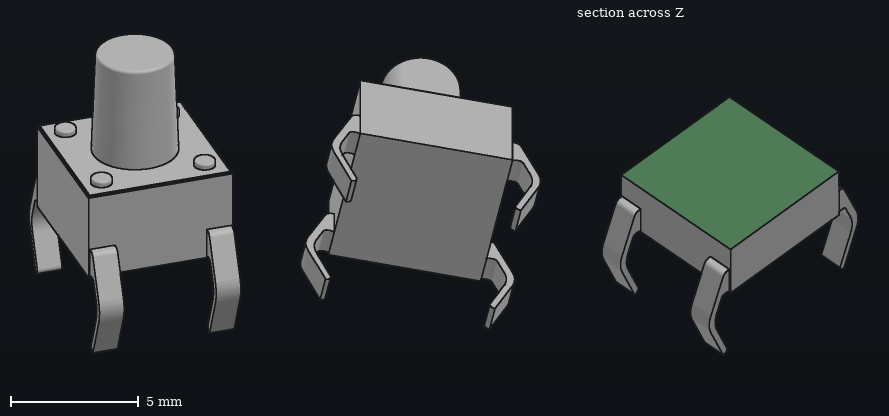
import cadquery as cq
import math


body_x = 6.10
body_y = 5.99
body_top = 3.65
cover_height = 0.075
cover_inset = 0.075

button_top = 7.98
button_base_radius = 1.715
button_tip_radius = 1.555
button_fillet = 0.15

rivet_diameter = 0.85
rivet_offset = 2.14
rivet_height = 0.26
rivet_fillet = 0.10

leg_span_x = 8.37
leg_width = 1.03
leg_center_y = 2.42
leg_thickness = 0.34
upper_angle = math.radians(22.5)
lower_angle = math.radians(22.0)
outer_bend_radius = 1.2
outer_bend_z = -1.01
inner_bend_radius = 1.1
inner_bend_z = -1.10
leg_tip_z = -3.20
leg_tip_radius = 0.20
tab_top = 1.27
tab_top_radius = 0.28
tab_bottom = 0.107
tab_corner_radius = 0.20
tab_root_radius = 0.15
tab_overlap = 0.5


def make_body():
    base_height = body_top - cover_height
    base = cq.Workplane("XY").rect(body_x, body_y).extrude(base_height)
    return (
        base.faces(">Z")
        .workplane()
        .rect(body_x - 2 * cover_inset, body_y - 2 * cover_inset)
        .extrude(cover_height)
    )


def make_button():
    outline = (
        cq.Workplane("XZ")
        .moveTo(0, 0)
        .lineTo(button_base_radius, 0)
        .lineTo(button_base_radius, body_top)
        .lineTo(button_tip_radius, button_top)
        .lineTo(0, button_top)
        .close()
    )
    button = outline.revolve(360, (0, 0, 0), (0, 1, 0))
    return button.faces(">Z").edges().fillet(button_fillet)


def make_rivets():
    rivets = (
        cq.Workplane("XY")
        .workplane(offset=body_top)
        .rect(2 * rivet_offset, 2 * rivet_offset, forConstruction=True)
        .vertices()
        .circle(rivet_diameter / 2)
        .extrude(rivet_height)
    )
    return rivets.faces(">Z").edges().fillet(rivet_fillet)


def bend_outline(apex_x, bend_z, radius, upper_z, lower_z):
    """Five points of one leg face: upper end, bend start, bend apex, bend end, lower end."""
    center_x = apex_x - radius

    def straight_end(angle, z):
        x = center_x + radius / math.cos(angle) - abs(z - bend_z) * math.tan(angle)
        return (x, z)

    upper_end = straight_end(upper_angle, upper_z)
    bend_start = (center_x + radius * math.cos(upper_angle), bend_z + radius * math.sin(upper_angle))
    bend_end = (center_x + radius * math.cos(lower_angle), bend_z - radius * math.sin(lower_angle))
    lower_end = straight_end(lower_angle, lower_z)
    return upper_end, bend_start, (apex_x, bend_z), bend_end, lower_end


def make_leg(center_y):
    """One leg on the +X side: a tab on the housing wall, then out, a bend, and back in."""
    wall_x = body_x / 2
    root_x = wall_x - tab_overlap
    outer_x = leg_span_x / 2
    inner_x = outer_x - leg_thickness

    top_corner, outer_start, outer_apex, outer_end, tip_outer = bend_outline(
        outer_x, outer_bend_z, outer_bend_radius, tab_top, leg_tip_z
    )
    tab_corner, inner_start, inner_apex, inner_end, tip_inner = bend_outline(
        inner_x, inner_bend_z, inner_bend_radius, tab_bottom, leg_tip_z
    )

    root_drop = tab_root_radius - tab_bottom
    root_arc_x = wall_x + math.sqrt(tab_root_radius**2 - root_drop**2)
    root_half_angle = math.acos(root_drop / tab_root_radius) / 2
    root_arc_middle = (
        root_arc_x - tab_root_radius * math.sin(root_half_angle),
        tab_bottom - tab_root_radius * (1 - math.cos(root_half_angle)),
    )

    leg = (
        cq.Workplane("XZ", origin=(0, center_y + leg_width / 2, 0))
        .moveTo(root_x, tab_top)
        .lineTo(*top_corner)
        .lineTo(*outer_start)
        .threePointArc(outer_apex, outer_end)
        .lineTo(*tip_outer)
        .lineTo(*tip_inner)
        .lineTo(*inner_end)
        .threePointArc(inner_apex, inner_start)
        .lineTo(*tab_corner)
        .lineTo(root_arc_x, tab_bottom)
        .threePointArc(root_arc_middle, (wall_x, 0))
        .lineTo(root_x, 0)
        .close()
        .extrude(leg_width)
    )

    rounded_corners = (
        (top_corner, tab_top_radius),
        (tip_inner, leg_tip_radius),
        (tab_corner, tab_corner_radius),
    )
    for (x, z), radius in rounded_corners:
        corner_edge = cq.selectors.NearestToPointSelector((x, center_y, z))
        leg = leg.edges(corner_edge).fillet(radius)
    return leg


result = make_body().union(make_button()).union(make_rivets())
for y_side in (-1, 1):
    right_leg = make_leg(y_side * leg_center_y)
    left_leg = right_leg.mirror("YZ")
    result = result.union(right_leg).union(left_leg)